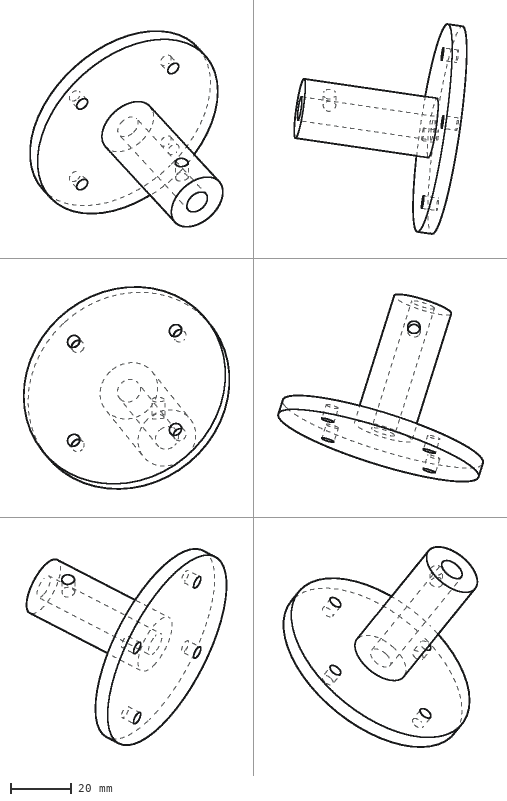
import cadquery as cq

flange_diameter = 70.0
flange_thickness = 5.0
overall_length = 50.0
shaft_diameter = 20.0
bore_diameter = 8.0
hole_diameter = 4.2
bolt_circle_diameter = 50.0
bolt_count = 4
first_bolt_angle = 45.0
cross_hole_from_end = 10.0

shaft_radius = shaft_diameter / 2
shaft_length = overall_length - flange_thickness
cross_hole_x = overall_length - cross_hole_from_end


def make_flange():
    """Round plate with its outer face at X = 0 and a ring of through holes."""
    return (
        cq.Workplane("YZ")
        .circle(flange_diameter / 2)
        .extrude(flange_thickness)
        .faces(">X")
        .workplane()
        .polarArray(bolt_circle_diameter / 2, first_bolt_angle, 360, bolt_count)
        .hole(hole_diameter)
    )


def make_rod(diameter):
    """Cylinder along X from the inner face of the flange to the free end."""
    return (
        cq.Workplane("YZ")
        .workplane(offset=flange_thickness)
        .circle(diameter / 2)
        .extrude(shaft_length)
    )


def make_cross_hole():
    """Radial cutter from the shaft axis up through the top wall into the bore."""
    return (
        cq.Workplane("XY")
        .center(cross_hole_x, 0)
        .circle(hole_diameter / 2)
        .extrude(shaft_radius)
    )


bore = make_rod(bore_diameter)
result = make_flange().union(make_rod(shaft_diameter)).cut(bore).cut(make_cross_hole())